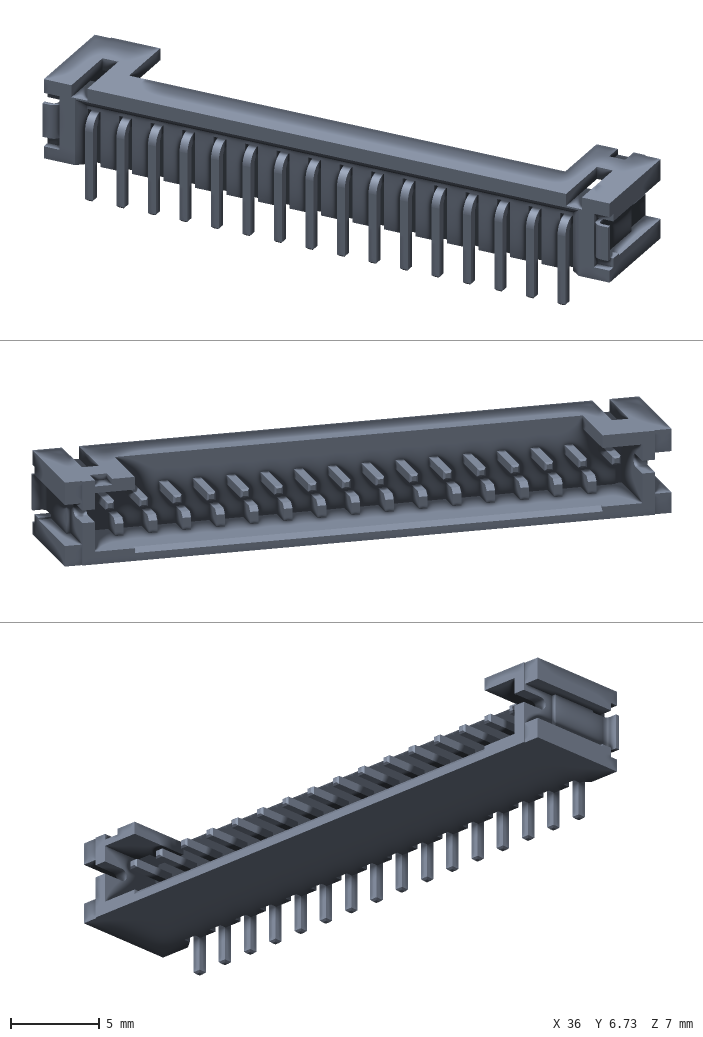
import cadquery as cq


LENGTH = 35.95
DEPTH = 6.55
HEIGHT = 5.0
ROOF_BOTTOM = 4.25
FLOOR_TOP = 0.75
FLOOR_LIP_CHAMFER = 0.3

PIN_COUNT = 16
PIN_ROW_SPAN = 30.02
PITCH = PIN_ROW_SPAN / (PIN_COUNT - 1)
PIN_SIZE = 0.5
PIN_TOP = 3.35
PIN_BEND_RADIUS = 0.95
PIN_TIP_CHAMFER = 0.1
PIN_TIP_SETBACK = 1.0
LEG_LENGTH = 2.0
BACK_OVERHANG = 0.18

CAVITY_HALF_WIDTH = 16.2
CAVITY_BACK = 2.6
CORNER_RELIEF_WIDTH = 0.4
CORNER_RELIEF_DEPTH = 0.18
ROOF_OPENING_WIDTH = 27.7
RIB_WIDTH = 0.5
RIB_HEIGHT = 1.0
RIB_FRONT = 4.0
RIB_CHAMFER = 0.3

ROOF_SLOT_WIDTH = 1.0
ROOF_SLOT_LENGTH = 3.92
NOTCH_LENGTH = 1.08
NOTCH_DEPTH = 0.35

GROOVE_DEPTH = 1.0
GROOVE_BOTTOM = 1.22
GROOVE_TOP = 3.65
GROOVE_MOUTH_BOTTOM = 0.75
GROOVE_MOUTH_TOP = 4.15
GROOVE_MOUTH_DEPTH = 0.45
GROOVE_STEP_HEIGHT = 0.1
LIP_SETBACK = 0.09
KEY_SLOT_BOTTOM = 2.5
KEY_SLOT_TOP = 3.27
KEY_SLOT_DEPTH = 1.75

RECESS_DEPTH = 0.43
RECESS_SIDE_BEVEL = 0.55
RECESS_HALF_WIDTH = 16.0
RECESS_TOP = 4.15
RECESS_TOP_BEVEL = 0.43
CHANNEL_WIDTH = 0.83
CHANNEL_TOP = 3.5
CHANNEL_DEPTH = 0.85

TAB_THICKNESS = 0.25
TAB_INNER_RADIUS = 0.3
TAB_END = 4.25
TAB_NECK_END = 1.2
TAB_NECK_BOTTOM = 1.45
TAB_NECK_TOP = 3.55

HALF_LENGTH = LENGTH / 2
GROOVE_WALL = HALF_LENGTH - GROOVE_DEPTH
PIN_POSITIONS = [(i - (PIN_COUNT - 1) / 2) * PITCH for i in range(PIN_COUNT)]
RIB_POSITIONS = [x + PITCH / 2 for x in PIN_POSITIONS[:-1]]


def block(x0, x1, y0, y1, z0, z1):
    """Box between two opposite corners."""
    return cq.Workplane("XY").box(x1 - x0, y1 - y0, z1 - z0, centered=False).translate((x0, y0, z0))


def with_mirror(shape):
    """The shape together with its mirror image across the middle of the row."""
    return shape.union(shape.mirror("YZ"))


def mating_cavity():
    """Cavity open at the mouth and partly through the roof, with a bevelled floor edge."""
    half = CAVITY_HALF_WIDTH
    cavity = block(-half, half, CAVITY_BACK, DEPTH, FLOOR_TOP, ROOF_BOTTOM)
    relief = block(
        half - CORNER_RELIEF_WIDTH, half,
        CAVITY_BACK - CORNER_RELIEF_DEPTH, CAVITY_BACK,
        FLOOR_TOP, ROOF_BOTTOM,
    )
    roof_half = ROOF_OPENING_WIDTH / 2
    roof_opening = block(-roof_half, roof_half, CAVITY_BACK, DEPTH, ROOF_BOTTOM, HEIGHT)
    floor_chamfer = (
        cq.Workplane("YZ")
        .moveTo(DEPTH - FLOOR_LIP_CHAMFER, FLOOR_TOP)
        .lineTo(DEPTH, FLOOR_TOP)
        .lineTo(DEPTH, FLOOR_TOP - FLOOR_LIP_CHAMFER)
        .close()
        .extrude(roof_half, both=True)
    )
    return cavity.union(with_mirror(relief)).union(roof_opening).union(floor_chamfer)


def roof_slots():
    """Two slots from the back, and a polarity notch in the +X arm from the mouth."""
    inner = CAVITY_HALF_WIDTH - ROOF_SLOT_WIDTH
    slot = block(inner, CAVITY_HALF_WIDTH, 0, ROOF_SLOT_LENGTH, ROOF_BOTTOM, HEIGHT)
    notch = block(inner, CAVITY_HALF_WIDTH, DEPTH - NOTCH_LENGTH, DEPTH, HEIGHT - NOTCH_DEPTH, HEIGHT)
    return with_mirror(slot).union(notch)


def side_grooves():
    """Grooves with a raised step low at the back, a wider back mouth and lips short of the front."""
    groove = block(GROOVE_WALL, HALF_LENGTH, 0, DEPTH, GROOVE_BOTTOM, GROOVE_TOP)
    step_top = GROOVE_BOTTOM + GROOVE_STEP_HEIGHT
    step = block(GROOVE_WALL, HALF_LENGTH, 0, TAB_NECK_END, GROOVE_BOTTOM, step_top)
    mouth = block(
        GROOVE_WALL, HALF_LENGTH, 0, GROOVE_MOUTH_DEPTH, GROOVE_MOUTH_BOTTOM, GROOVE_MOUTH_TOP
    )
    lip_setback = block(GROOVE_WALL, HALF_LENGTH, DEPTH - LIP_SETBACK, DEPTH, 0, HEIGHT)
    return with_mirror(groove.cut(step).union(mouth).union(lip_setback))


def key_slot():
    """Round-ended slot through both side walls, open at the mouth."""
    radius = (KEY_SLOT_TOP - KEY_SLOT_BOTTOM) / 2
    end = DEPTH - KEY_SLOT_DEPTH
    return (
        cq.Workplane("YZ")
        .moveTo(DEPTH, KEY_SLOT_BOTTOM)
        .lineTo(end + radius, KEY_SLOT_BOTTOM)
        .threePointArc((end, KEY_SLOT_BOTTOM + radius), (end + radius, KEY_SLOT_TOP))
        .lineTo(DEPTH, KEY_SLOT_TOP)
        .close()
        .extrude(HALF_LENGTH, both=True)
    )


def back_recess():
    """Recess with sloping sides and top, open at the underside."""
    side_slopes = (
        cq.Workplane("XY")
        .moveTo(-RECESS_HALF_WIDTH, 0)
        .lineTo(RECESS_HALF_WIDTH, 0)
        .lineTo(RECESS_HALF_WIDTH - RECESS_SIDE_BEVEL, RECESS_DEPTH)
        .lineTo(-RECESS_HALF_WIDTH + RECESS_SIDE_BEVEL, RECESS_DEPTH)
        .close()
        .extrude(HEIGHT)
    )
    top_slope = (
        cq.Workplane("YZ")
        .moveTo(0, 0)
        .lineTo(RECESS_DEPTH, 0)
        .lineTo(RECESS_DEPTH, RECESS_TOP - RECESS_TOP_BEVEL)
        .lineTo(0, RECESS_TOP)
        .close()
        .extrude(HALF_LENGTH, both=True)
    )
    return side_slopes.intersect(top_slope)


def pin_channels():
    channels = cq.Workplane("XY")
    for x in PIN_POSITIONS:
        half = CHANNEL_WIDTH / 2
        channels.add(block(x - half, x + half, 0, CHANNEL_DEPTH, 0, CHANNEL_TOP))
    return channels.combine()


def cavity_rib(x):
    """Low rib on the cavity floor, bevelled at its front end."""
    top = FLOOR_TOP + RIB_HEIGHT
    return (
        block(x - RIB_WIDTH / 2, x + RIB_WIDTH / 2, CAVITY_BACK, RIB_FRONT, FLOOR_TOP, top)
        .edges(">Y and >Z")
        .chamfer(RIB_CHAMFER)
    )


def pin(x):
    """Square pin running along Y, bent down into a leg, with bevelled tips."""
    outer_y = -BACK_OVERHANG
    inner_y = outer_y + PIN_SIZE
    center_y = outer_y + PIN_BEND_RADIUS
    center_z = PIN_TOP - PIN_BEND_RADIUS
    tip_y = DEPTH - PIN_TIP_SETBACK
    inner_radius = PIN_BEND_RADIUS - PIN_SIZE
    return (
        cq.Workplane("YZ")
        .moveTo(outer_y, -LEG_LENGTH)
        .lineTo(outer_y, center_z)
        .radiusArc((center_y, PIN_TOP), PIN_BEND_RADIUS)
        .lineTo(tip_y, PIN_TOP)
        .lineTo(tip_y, PIN_TOP - PIN_SIZE)
        .lineTo(center_y, PIN_TOP - PIN_SIZE)
        .radiusArc((inner_y, center_z), -inner_radius)
        .lineTo(inner_y, -LEG_LENGTH)
        .close()
        .extrude(PIN_SIZE / 2, both=True)
        .faces(">Y or <Z")
        .chamfer(PIN_TIP_CHAMFER)
        .translate((x, 0, 0))
    )


def solder_tab():
    """Sheet strip lying on the +X groove wall, with a narrower neck bent outward at the back."""
    outer_radius = TAB_INNER_RADIUS + TAB_THICKNESS
    face_x = GROOVE_WALL + TAB_THICKNESS
    center_x = GROOVE_WALL + outer_radius
    center_y = outer_radius - BACK_OVERHANG
    flange_y = TAB_THICKNESS - BACK_OVERHANG
    neck = (
        cq.Workplane("XY")
        .moveTo(GROOVE_WALL, TAB_NECK_END)
        .lineTo(GROOVE_WALL, center_y)
        .radiusArc((center_x, -BACK_OVERHANG), -outer_radius)
        .lineTo(HALF_LENGTH, -BACK_OVERHANG)
        .lineTo(HALF_LENGTH, flange_y)
        .lineTo(center_x, flange_y)
        .radiusArc((face_x, center_y), TAB_INNER_RADIUS)
        .lineTo(face_x, TAB_NECK_END)
        .close()
        .extrude(TAB_NECK_TOP - TAB_NECK_BOTTOM)
        .translate((0, 0, TAB_NECK_BOTTOM))
    )
    plate = block(GROOVE_WALL, face_x, TAB_NECK_END, TAB_END, GROOVE_BOTTOM, GROOVE_TOP)
    return plate.union(neck)


housing = block(-HALF_LENGTH, HALF_LENGTH, 0, DEPTH, 0, HEIGHT)
cutters = [mating_cavity(), roof_slots(), side_grooves(), key_slot(), back_recess(), pin_channels()]
for cutter in cutters:
    housing = housing.cut(cutter)

result = housing.union(with_mirror(solder_tab()))
for rib_x in RIB_POSITIONS:
    result = result.union(cavity_rib(rib_x))
for pin_x in PIN_POSITIONS:
    result = result.union(pin(pin_x))